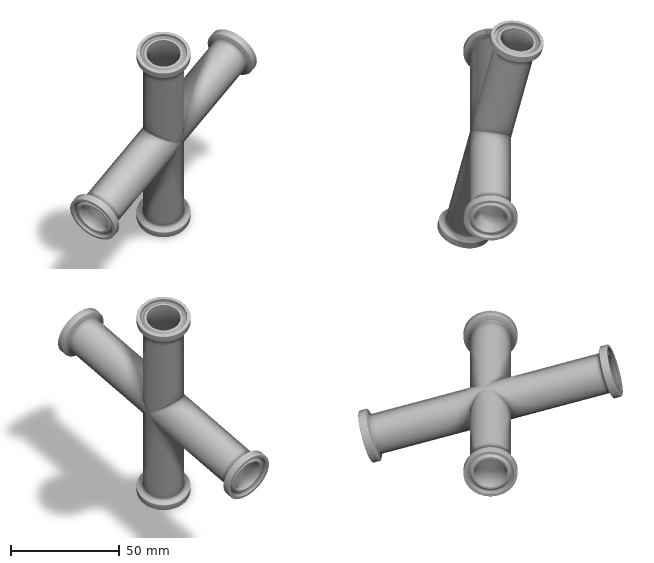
import cadquery as cq
import math

span = 120.6
tube_diameter = 19.1
bore_diameter = 15.8
flange_diameter = 25.0
rim_length = 3.6
flange_back_angle = 20.0
rim_fillet = 0.4
neck_fillet = 1.0

groove_outer_diameter = 21.8
groove_inner_diameter = 17.5
groove_slope_diameter = 19.1
land_recess = 0.7
outer_wall_depth = 1.1
groove_slope_depth = 1.6
groove_depth = 1.8

half_span = span / 2
tube_radius = tube_diameter / 2
flange_radius = flange_diameter / 2


def revolve_about_z(profile):
    """Revolve a closed profile in the XZ plane about the Z axis."""
    return profile.revolve(360, (0, 0, 0), (0, 1, 0))


def fillet_circle(body, z, fillet_radius):
    """Round the circular edge lying at height z."""
    margin = 0.1
    slab = cq.selectors.BoxSelector(
        (-flange_diameter, -flange_diameter, z - margin),
        (flange_diameter, flange_diameter, z + margin),
        boundingbox=True,
    )
    return body.edges(slab).fillet(fillet_radius)


def make_arm():
    """Solid upright arm from the centre of the cross to its flange face."""
    rim_z = half_span - rim_length
    cone_drop = (flange_radius - tube_radius) * math.tan(math.radians(flange_back_angle))
    neck_z = rim_z - cone_drop
    arm = revolve_about_z(
        cq.Workplane("XZ")
        .lineTo(tube_radius, 0)
        .lineTo(tube_radius, neck_z)
        .lineTo(flange_radius, rim_z)
        .lineTo(flange_radius, half_span)
        .lineTo(0, half_span)
        .close()
    )
    arm = fillet_circle(arm, neck_z, neck_fillet)
    arm = fillet_circle(arm, rim_z, rim_fillet)
    return fillet_circle(arm, half_span, rim_fillet)


def make_face_recess():
    """Cutter for the flange face: recessed land, sloped wall and round-bottomed groove."""
    outer_radius = groove_outer_diameter / 2
    slope_radius = groove_slope_diameter / 2
    inner_radius = groove_inner_diameter / 2
    bottom_radius = (outer_radius + slope_radius) / 2
    return revolve_about_z(
        cq.Workplane("XZ")
        .moveTo(0, half_span)
        .lineTo(0, half_span - land_recess)
        .lineTo(inner_radius, half_span - land_recess)
        .lineTo(slope_radius, half_span - groove_slope_depth)
        .threePointArc(
            (bottom_radius, half_span - groove_depth),
            (outer_radius, half_span - outer_wall_depth),
        )
        .lineTo(outer_radius, half_span)
        .close()
    )


def turned_about_x(body, angle):
    return body.rotate((0, 0, 0), (1, 0, 0), angle)


flanged_arm = make_arm().cut(make_face_recess())
bore = cq.Workplane("XY").circle(bore_diameter / 2).extrude(half_span, both=True)

cross = flanged_arm
for arm_angle in (90, 180, 270):
    cross = cross.union(turned_about_x(flanged_arm, arm_angle))

for bore_angle in (0, 90):
    cross = cross.cut(turned_about_x(bore, bore_angle))

result = cross